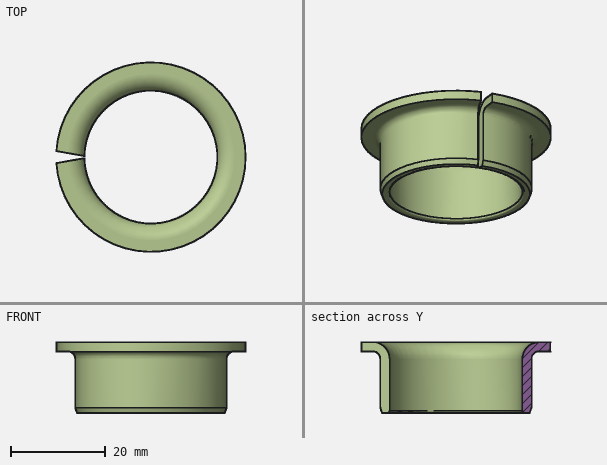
import cadquery as cq
import math

flange_diameter = 39.98
height = 15.0
bore_diameter = 28.0
wall = 2.0
inner_bend_radius = 3.5
chamfer_height = 1.15
chamfer_angle = 20.0
bore_edge_radius = 0.48
slit_inner_width = 0.4
slit_side_angle = 10.0

flange_radius = flange_diameter / 2
bore_radius = bore_diameter / 2
sleeve_radius = bore_radius + wall
outer_bend_radius = inner_bend_radius - wall
bend_center_radius = bore_radius + inner_bend_radius
bend_center_z = height - inner_bend_radius
bore_edge_inset = bore_edge_radius * (1 - math.sqrt(0.5))
chamfer_width = chamfer_height * math.tan(math.radians(chamfer_angle))


def bend_middle(radius):
    """Midpoint of a quarter bend between the sleeve and the flange."""
    offset = radius * math.sqrt(0.5)
    return (bend_center_radius - offset, bend_center_z + offset)


def flanged_sleeve():
    """Revolve the constant-thickness wall, bent outward into the flange at the top."""
    profile = (
        cq.Workplane("XZ")
        .moveTo(bore_radius + bore_edge_radius, 0)
        .lineTo(sleeve_radius - chamfer_width, 0)
        .lineTo(sleeve_radius, chamfer_height)
        .lineTo(sleeve_radius, bend_center_z)
        .threePointArc(bend_middle(outer_bend_radius), (bend_center_radius, height - wall))
        .lineTo(flange_radius, height - wall)
        .lineTo(flange_radius, height)
        .lineTo(bend_center_radius, height)
        .threePointArc(bend_middle(inner_bend_radius), (bore_radius, bend_center_z))
        .lineTo(bore_radius, bore_edge_radius)
        .threePointArc(
            (bore_radius + bore_edge_inset, bore_edge_inset),
            (bore_radius + bore_edge_radius, 0),
        )
        .close()
    )
    sleeve = profile.revolve(360, (0, 0, 0), (0, 1, 0))
    return sleeve.rotate((0, 0, 0), (0, 0, 1), 180)


def slit_cutter():
    """Wedge on the -X side, widening outward through the full height."""
    slope = math.tan(math.radians(slit_side_angle))
    apex_x = -bore_radius + slit_inner_width / 2 / slope
    outer_x = -flange_radius - wall
    outer_half_width = (apex_x - outer_x) * slope
    return (
        cq.Workplane("XY")
        .moveTo(apex_x, 0)
        .lineTo(outer_x, outer_half_width)
        .lineTo(outer_x, -outer_half_width)
        .close()
        .extrude(height)
    )


result = flanged_sleeve().cut(slit_cutter())